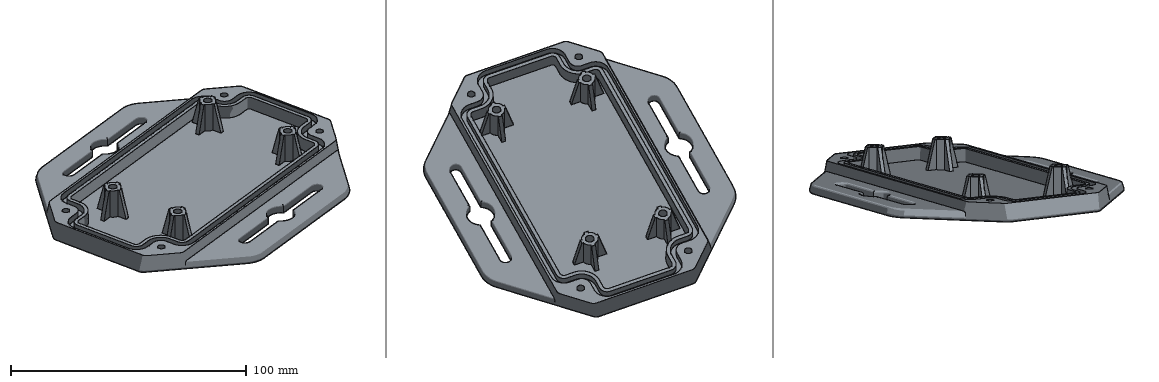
import cadquery as cq
import math

floor_top = 2.4
flange_top = 3.9
rim_top = 8.0
post_top = 15.5

draft = 15.0
box_corner_draft = 8.5
edge_round = 1.0
overall_width = 117.3
overall_length = 138.7
corner_sum = 92.4
box_half_width = 37.2
flange_half_length = 62.4
flange_corner_radius = 11.8
box_corner_radius = 2.8

outline_half_width = 34.0
outline_half_length = 66.5
step_half_width = 20.1
step_half_length = 52.5
outline_outer_radius = 6.0
outline_inner_radius = 4.0
groove_width = 2.5
groove_depth = 3.0
cavity_inset = 4.2
cavity_draft = 3.0

slot_x = 46.0
slot_width = 5.0
slot_length = 57.1
slot_eye_diameter = 11.9

screw_x = 25.0
screw_y = 57.4
screw_diameter = 3.2

post_diameter = 7.0
post_hole_diameter = 3.6
fin_thickness = 1.8
fin_top_reach = 4.0
post_x = 21.0
post_y = 40.0
shifted_post_x = 13.0
post_centers = [
    (-post_x, post_y),
    (post_x, post_y),
    (post_x, -post_y),
    (-shifted_post_x, -post_y),
]


def round_loss(angle):
    """How far the rounded bottom edge of a drafted wall falls short of its sharp base edge."""
    slope = math.radians(angle)
    return edge_round * (math.tan(slope) + 1 / math.cos(slope) - 1)


def drafted_octagon(half_width, half_length, height, corner_draft):
    """Octagonal plate with sharp edges whose sides lean inwards from the base."""
    plate = cq.Workplane("XY").rect(2 * half_width, 2 * half_length).extrude(height, taper=draft)
    diamond_side = 2 * (corner_sum / math.sqrt(2) + round_loss(corner_draft))
    diamond = cq.Workplane("XY").rect(diamond_side, diamond_side).extrude(height, taper=corner_draft)
    return plate.intersect(diamond.rotate((0, 0, 0), (0, 0, 1), 45))


def make_box():
    box_half_length = overall_length / 2 + round_loss(draft)
    box = drafted_octagon(box_half_width, box_half_length, rim_top, box_corner_draft)
    box = box.edges("not #Z").fillet(box_corner_radius)
    return box.faces("<Z").edges().fillet(edge_round)


def make_flange():
    """Plate with the keyhole slots, rounded along its top and bottom edges."""
    flange_half_width = overall_width / 2 + round_loss(draft)
    flange = drafted_octagon(flange_half_width, flange_half_length, flange_top, draft)
    side_margin = 13.9
    for side in (-1, 1):
        zone = cq.selectors.BoxSelector(
            (side * (flange_half_width - side_margin), -flange_half_length, 0),
            (side * (flange_half_width + side_margin), flange_half_length, flange_top))
        flange = flange.edges("not #Z").edges(zone).fillet(flange_corner_radius)
    flange = flange.faces("<Z").edges().fillet(edge_round)
    slot_centers = [(-slot_x, 0), (slot_x, 0)]
    base = cq.Workplane("XY").pushPoints(slot_centers)
    slots = base.slot2D(slot_length, slot_width, 90).extrude(flange_top)
    eyes = base.circle(slot_eye_diameter / 2).extrude(flange_top)
    flange = flange.cut(slots.union(eyes))
    return flange.faces(">Z").edges().fillet(edge_round)


def plus_prism(inset, bottom, top):
    """Prism on the plus-shaped outline moved inwards by the given inset."""
    reach = step_half_width - inset
    step = step_half_length - inset
    base = cq.Workplane("XY").workplane(offset=bottom)

    def arm(half_width, half_length):
        block = base.rect(2 * half_width, 2 * half_length).extrude(top - bottom)
        return block.edges("|Z").fillet(outline_outer_radius - inset)

    long_arm = arm(reach, outline_half_length - inset)
    wide_arm = arm(outline_half_width - inset, step)
    margin = 0.1
    inner_corners = cq.selectors.BoxSelector(
        (-reach - margin, -step - margin, bottom), (reach + margin, step + margin, top))
    prism = long_arm.union(wide_arm)
    return prism.edges("|Z").edges(inner_corners).fillet(outline_inner_radius + inset)


def make_groove():
    bottom = rim_top - groove_depth
    return plus_prism(0, bottom, rim_top).cut(plus_prism(groove_width, bottom, rim_top))


def make_cavity():
    """Recess inside the lip, narrowing slightly towards the floor."""
    mouth = plus_prism(cavity_inset, floor_top, rim_top).faces(">Z").wires().toPending()
    return mouth.extrude(floor_top - rim_top, combine=False, taper=cavity_draft)


def make_post():
    """Round post on the floor with four fins that widen towards their base."""
    height = post_top - floor_top
    fin_base_reach = fin_top_reach + height * math.tan(math.radians(draft))
    fin_outline = [
        (-fin_base_reach, floor_top),
        (fin_base_reach, floor_top),
        (fin_top_reach, post_top),
        (-fin_top_reach, post_top),
    ]
    fins = cq.Workplane("XZ").polyline(fin_outline).close().extrude(fin_thickness / 2, both=True)
    post = cq.Workplane("XY").workplane(offset=floor_top).circle(post_diameter / 2).extrude(height)
    post = post.union(fins).union(fins.rotate((0, 0, 0), (0, 0, 1), 90))
    return post.faces(">Z").workplane(origin=(0, 0, post_top)).hole(post_hole_diameter, height)


body = make_box().union(make_flange())
body = body.cut(make_groove()).cut(make_cavity())

screw_holes = (
    cq.Workplane("XY")
    .rect(2 * screw_x, 2 * screw_y, forConstruction=True)
    .vertices()
    .circle(screw_diameter / 2)
    .extrude(rim_top)
)
body = body.cut(screw_holes)

post = make_post()
for x, y in post_centers:
    body = body.union(post.translate((x, y, 0)))

result = body